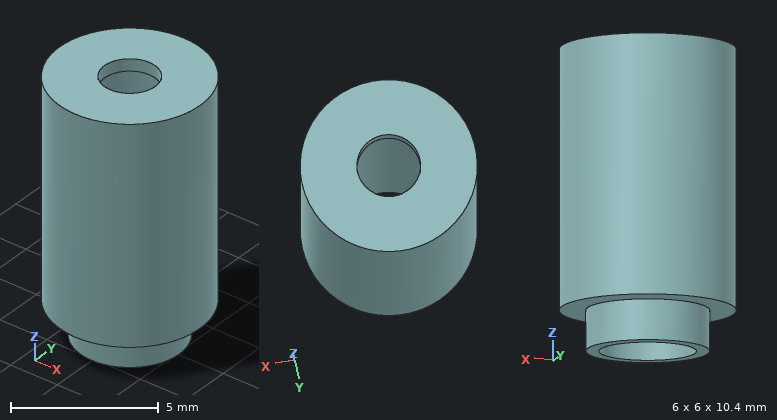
import cadquery as cq

total_height = 10.4
body_diameter = 6.0
spigot_diameter = 4.2
spigot_height = 1.4
bore_diameter = 3.3
top_hole_diameter = 2.15
top_wall_thickness = 0.5

bore_depth = total_height - top_wall_thickness

spigot = cq.Workplane("XY").circle(spigot_diameter / 2).extrude(spigot_height)
body = (
    cq.Workplane("XY", origin=(0, 0, spigot_height))
    .circle(body_diameter / 2)
    .extrude(total_height - spigot_height)
)

bore = cq.Workplane("XY").circle(bore_diameter / 2).extrude(bore_depth)
top_hole = cq.Workplane("XY").circle(top_hole_diameter / 2).extrude(total_height)

result = spigot.union(body).cut(bore).cut(top_hole)